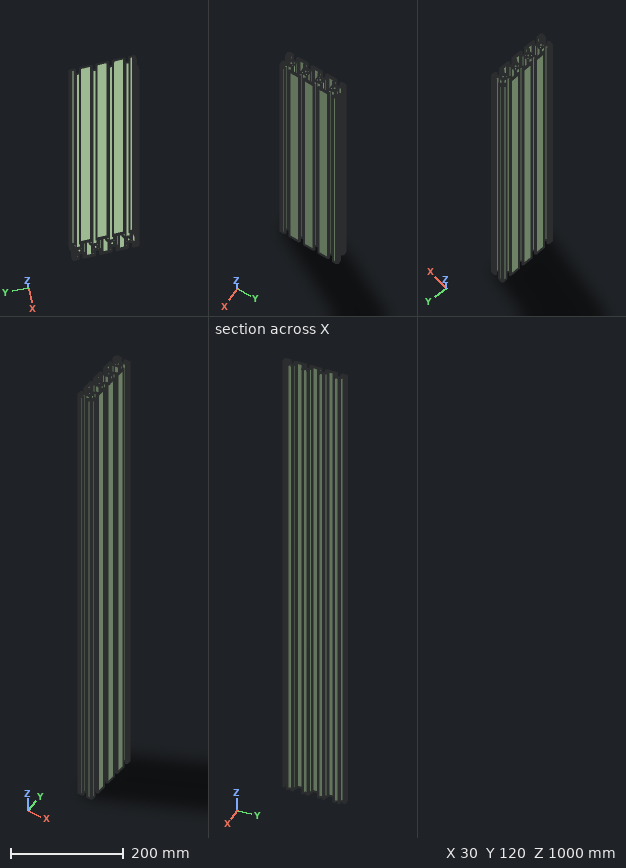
import cadquery as cq
import math

CELL = 30.0
CELL_COUNT = 4
LENGTH = 1000.0
CORNER_RADIUS = 2.5

SHELF_WIDTH = 11.0
SHELF_DEPTH = 0.8
SLOT_OPENING = 8.2
MOUTH_RADIUS = 0.3
LIP_DEPTH = 2.5
SLOT_INNER_WIDTH = 16.5
SHOULDER_DEPTH = 5.1
SLOT_DEPTH = 9.2
SLOT_FLOOR_WIDTH = 8.2

CORE_BORE = 6.8
CORNER_HOLLOW = 3.0
CORNER_WALL = 1.5

CAVITY_WALL = 2.5
CAVITY_WALL_LENGTH = 10.6
CAVITY_WAIST_WIDTH = 16.0
CAVITY_WAIST_LENGTH = 12.2
CAVITY_END_WIDTH = 9.0
CAVITY_LENGTH = 17.7

FACE = CELL / 2
DEPTH = CELL * CELL_COUNT
CELL_CENTRES = [(i - (CELL_COUNT - 1) / 2) * CELL for i in range(CELL_COUNT)]


def blank():
    """Solid bar with rounded long edges."""
    return cq.Workplane("XY").rect(CELL, DEPTH).extrude(LENGTH).edges("|Z").fillet(CORNER_RADIUS)


def slot(angle, cell_y):
    """T-slot cutter of one cell; it opens towards +X before being turned by angle about Z."""
    shelf = FACE - SHELF_DEPTH
    lip = FACE - LIP_DEPTH
    shoulder = FACE - SHOULDER_DEPTH
    floor = FACE - SLOT_DEPTH
    half_shelf = SHELF_WIDTH / 2
    half_mouth = SLOT_OPENING / 2
    half_inner = SLOT_INNER_WIDTH / 2
    half_floor = SLOT_FLOOR_WIDTH / 2

    round_x = shelf - MOUTH_RADIUS
    round_y = half_mouth + MOUTH_RADIUS
    arc_offset = MOUTH_RADIUS * math.sqrt(0.5)
    arc_x = round_x + arc_offset
    arc_y = round_y - arc_offset

    cutter = (
        cq.Workplane("XY")
        .moveTo(FACE, half_shelf)
        .lineTo(shelf, half_shelf)
        .lineTo(shelf, round_y)
        .threePointArc((arc_x, arc_y), (round_x, half_mouth))
        .lineTo(lip, half_mouth)
        .lineTo(lip, half_inner)
        .lineTo(shoulder, half_inner)
        .lineTo(floor, half_floor)
        .lineTo(floor, -half_floor)
        .lineTo(shoulder, -half_inner)
        .lineTo(lip, -half_inner)
        .lineTo(lip, -half_mouth)
        .lineTo(round_x, -half_mouth)
        .threePointArc((arc_x, -arc_y), (shelf, -round_y))
        .lineTo(shelf, -half_shelf)
        .lineTo(FACE, -half_shelf)
        .close()
        .extrude(LENGTH)
    )
    return cutter.rotate((0, 0, 0), (0, 0, 1), angle).translate((0, cell_y, 0))


def core_bores():
    """Through bore on the axis of every cell."""
    points = [(0, y) for y in CELL_CENTRES]
    return cq.Workplane("XY").pushPoints(points).circle(CORE_BORE / 2).extrude(LENGTH)


def corner_hollows():
    """Square through holes in the four outer corners."""
    inset = 2 * CORNER_WALL + CORNER_HOLLOW
    return (
        cq.Workplane("XY")
        .rect(CELL - inset, DEPTH - inset, forConstruction=True)
        .vertices()
        .rect(CORNER_HOLLOW, CORNER_HOLLOW)
        .extrude(LENGTH)
    )


def cavity(joint_y):
    """Twelve-sided through cavity centred on the joint between two cells."""
    quarter = [
        (FACE - CAVITY_WALL, CAVITY_WALL_LENGTH / 2),
        (CAVITY_WAIST_WIDTH / 2, CAVITY_WAIST_LENGTH / 2),
        (CAVITY_END_WIDTH / 2, CAVITY_LENGTH / 2),
    ]
    half = quarter + [(-x, y) for x, y in reversed(quarter)]
    outline = half + [(-x, -y) for x, y in half]
    return cq.Workplane("XY").polyline(outline).close().extrude(LENGTH).translate((0, joint_y, 0))


result = blank()

for y in CELL_CENTRES:
    result = result.cut(slot(0, y)).cut(slot(180, y))
result = result.cut(slot(-90, CELL_CENTRES[0])).cut(slot(90, CELL_CENTRES[-1]))

result = result.cut(core_bores()).cut(corner_hollows())
for y in CELL_CENTRES[:-1]:
    result = result.cut(cavity(y + CELL / 2))